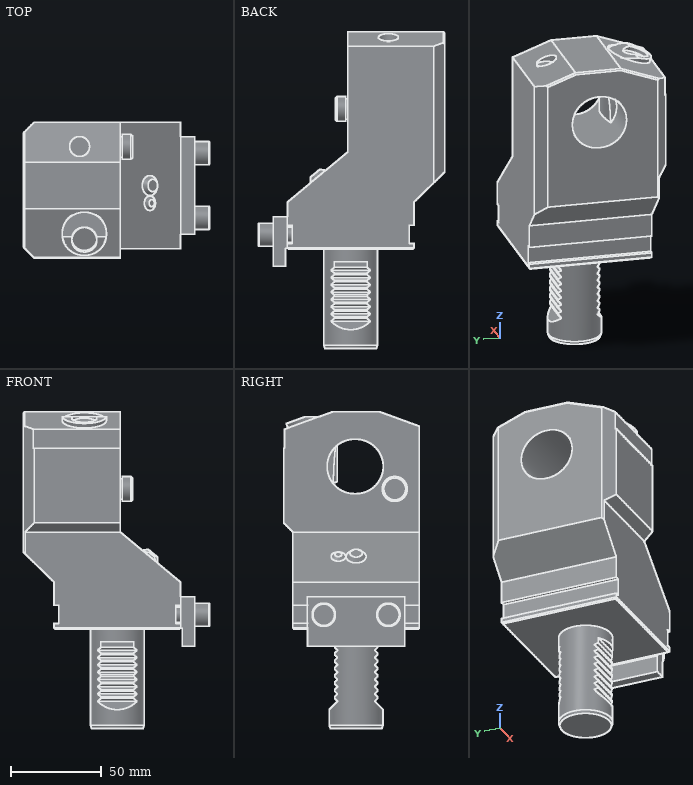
import cadquery as cq
import math


overall_length_x = 103.0
overall_height = 175.0

shank_diameter = 30.0
shank_length = 55.0
shank_end_chamfer = 0.7
shank_end_chamfer_height = 2.0
tooth_flat_y = 11.9
tooth_root_y = 10.3
tooth_pitch = 4.0
tooth_count = 8
tooth_flat_top_z = -7.0
first_root_z = -11.7

body_half = 35.0
body_bottom_chamfer = 0.7
groove_depth = 2.6
groove_bottom_z = 3.2
groove_top_z = 13.1
slope_bottom_z = 25.9

head_top_z = overall_height - shank_length
head_left_x = -52.0
head_right_x = 1.8
head_left_bottom_z = 42.5
head_right_bottom_z = 53.5
head_front_y = -40.0
head_front_recess = 0.5
recess_bottom_z = 100.0
corner_chamfer = 6.1
roof_flat_half = 13.0
roof_angle = 20.0
roof_edge_chamfer = 0.9

bore_diameter = 30.0
bore_z = 89.8
bore_relief_y = -1.0

plug_diameter = 24.5
plug_x = -18.2
plug_y = -26.2
plug_above_roof = 2.6
plug_flat_top_z = 117.2
plug_bore_face_y = -10.3
plug_bore_face_diameter = 68.0
plug_length = 39.9
socket_diameter = 13.8
socket_offset = 3.3
socket_depth = 3.2

roof_hole_diameter = 11.0
roof_hole_x = -20.8
roof_hole_y = 21.5
roof_hole_floor_z = 114.5

side_screw_y = 21.4
side_screw_z = 77.4
side_screw_neck_diameter = 11.4
side_screw_neck_length = 0.9
side_screw_head_diameter = 13.8
side_screw_head_length = 5.8
side_screw_chamfer = 0.9

slope_button_x = 18.0
slope_buttons = [(11.0, 6.8, 2.5, 0.0), (8.0, 3.8, 1.5, -9.8)]

plate_outer_x = 42.9
plate_half_width = 27.0
plate_top_z = 17.8
plate_bottom_z = -9.6
plate_relief = 0.9
plate_relief_top_z = 0.4
plate_screw_y = 17.8
plate_screw_z = 7.9
plate_screw_head_diameter = 13.0
plate_screw_neck_diameter = 8.8
plate_screw_end_x = head_left_x + overall_length_x
plate_screw_chamfer = 0.5

roof_slope = math.tan(math.radians(roof_angle))


def roof_z(y):
    """Height of the sloped roof at a distance y from the middle."""
    return head_top_z - (abs(y) - roof_flat_half) * roof_slope


def cylinder_x(diameter, x_start, x_end, y, z):
    plane = cq.Plane(origin=(x_start, y, z), xDir=(0, 1, 0), normal=(1, 0, 0))
    return cq.Workplane(plane).circle(diameter / 2).extrude(x_end - x_start)


def make_housing():
    """Body and head in one: the common volume of the side, end and plan outlines."""
    groove_x = body_half - groove_depth
    side_outline = [
        (-body_half + body_bottom_chamfer, 0),
        (-body_half, body_bottom_chamfer),
        (-body_half, groove_bottom_z),
        (-groove_x, groove_bottom_z),
        (-groove_x, groove_top_z),
        (-body_half, groove_top_z),
        (-body_half, slope_bottom_z),
        (head_left_x, head_left_bottom_z),
        (head_left_x, head_top_z),
        (head_right_x, head_top_z),
        (head_right_x, head_right_bottom_z),
        (body_half, slope_bottom_z),
        (body_half, groove_top_z),
        (groove_x, groove_top_z),
        (groove_x, groove_bottom_z),
        (body_half, groove_bottom_z),
        (body_half, body_bottom_chamfer),
        (body_half - body_bottom_chamfer, 0),
    ]
    recess_y = head_front_y + head_front_recess
    overhang = -body_half - head_front_y
    end_outline = [
        (body_half - body_bottom_chamfer, 0),
        (body_half, body_bottom_chamfer),
        (body_half, roof_z(body_half)),
        (roof_flat_half, head_top_z),
        (-roof_flat_half, head_top_z),
        (recess_y, roof_z(recess_y)),
        (recess_y, recess_bottom_z),
        (head_front_y, recess_bottom_z),
        (head_front_y, head_right_bottom_z + overhang),
        (-body_half, head_right_bottom_z),
        (-body_half, body_bottom_chamfer),
        (-body_half + body_bottom_chamfer, 0),
    ]
    plan_outline = [
        (body_half, head_front_y),
        (body_half, body_half),
        (head_left_x + corner_chamfer, body_half),
        (head_left_x, body_half - corner_chamfer),
        (head_left_x, head_front_y + corner_chamfer),
        (head_left_x + corner_chamfer, head_front_y),
    ]
    side = cq.Workplane("XZ").polyline(side_outline).close().extrude(2 * body_half, both=True)
    end = cq.Workplane("YZ").polyline(end_outline).close().extrude(2 * body_half, both=True)
    plan = cq.Workplane("XY").polyline(plan_outline).close().extrude(head_top_z)
    housing = side.intersect(end).intersect(plan)
    roof_zone = cq.selectors.BoxSelector(
        (-body_half, head_front_y, roof_z(recess_y)),
        (2 * head_left_x, body_half, overall_height),
    )
    return housing.faces("<X").edges(roof_zone).chamfer(roof_edge_chamfer)


def make_shank():
    radius = shank_diameter / 2
    shank = cq.Workplane("XY").circle(radius).extrude(-shank_length)
    shank = shank.faces("<Z").chamfer(shank_end_chamfer_height, shank_end_chamfer)
    tooth_height = tooth_flat_y - tooth_root_y
    points = [(radius, tooth_flat_top_z), (tooth_flat_y, tooth_flat_top_z)]
    for i in range(tooth_count):
        root_z = first_root_z - i * tooth_pitch
        points.append((tooth_flat_y, root_z + tooth_height))
        points.append((tooth_root_y, root_z))
        if i < tooth_count - 1:
            points.append((tooth_flat_y, root_z - tooth_height))
    last_root_z = first_root_z - (tooth_count - 1) * tooth_pitch
    points.append((radius, last_root_z - (radius - tooth_root_y)))
    teeth_cut = cq.Workplane("YZ").polyline(points).close().extrude(shank_diameter, both=True)
    return shank.cut(teeth_cut).cut(teeth_cut.mirror("XZ"))


def plug_plane():
    """Plane of the front roof slope, centred on the clamp plug."""
    angle = math.radians(roof_angle)
    outward = (0, -math.sin(angle), math.cos(angle))
    return cq.Plane(origin=(plug_x, plug_y, roof_z(plug_y)), xDir=(1, 0, 0), normal=outward)


def make_clamp_plug():
    top = cq.Workplane(plug_plane()).workplane(offset=plug_above_roof)
    plug = top.circle(plug_diameter / 2).extrude(-plug_length)
    socket = top.center(0, -socket_offset).circle(socket_diameter / 2).extrude(-socket_depth)
    bore_top_z = bore_z + bore_diameter / 2
    bore_bottom_z = bore_z - bore_diameter / 2
    face_radius = plug_bore_face_diameter / 2
    in_bore = (
        cq.Workplane("XY", origin=(plug_x, plug_bore_face_y - face_radius, bore_bottom_z))
        .circle(face_radius)
        .extrude(bore_diameter)
    )
    above_bore = (
        cq.Workplane("XY", origin=(plug_x, plug_y, bore_top_z))
        .rect(2 * plug_diameter, 2 * plug_diameter)
        .extrude(plug_flat_top_z - bore_top_z)
    )
    return plug.intersect(in_bore.union(above_bore)).cut(socket)


def make_plug_hole():
    """Clears the roof above the flat top of the clamp plug."""
    hole = cq.Workplane(plug_plane()).circle(plug_diameter / 2).extrude(plug_diameter, both=True)
    upper = (
        cq.Workplane("XY", origin=(plug_x, plug_y, plug_flat_top_z))
        .rect(2 * plug_diameter, 2 * plug_diameter)
        .extrude(plug_diameter)
    )
    return hole.intersect(upper)


def make_roof_hole():
    return (
        cq.Workplane("XY", origin=(roof_hole_x, roof_hole_y, roof_hole_floor_z))
        .circle(roof_hole_diameter / 2)
        .extrude(head_top_z)
    )


def make_side_screw():
    head_start = head_right_x + side_screw_neck_length
    head_end = head_start + side_screw_head_length
    neck = cylinder_x(side_screw_neck_diameter, head_right_x, head_start, side_screw_y, side_screw_z)
    head = cylinder_x(side_screw_head_diameter, head_start, head_end, side_screw_y, side_screw_z)
    return neck.union(head.faces(">X").chamfer(side_screw_chamfer))


def make_slope_button(base_diameter, top_diameter, height, y):
    drop = head_right_bottom_z - slope_bottom_z
    run = body_half - head_right_x
    base_z = head_right_bottom_z - (slope_button_x - head_right_x) * drop / run
    plane = cq.Plane(origin=(slope_button_x, y, base_z), xDir=(0, 1, 0), normal=(drop, 0, run))
    base = cq.Workplane(plane).circle(base_diameter / 2)
    return base.workplane(offset=height).circle(top_diameter / 2).loft()


def make_stop_plate():
    outline = [
        (body_half, plate_top_z),
        (plate_outer_x, plate_top_z),
        (plate_outer_x, plate_bottom_z),
        (body_half + plate_relief, plate_bottom_z),
        (body_half + plate_relief, plate_relief_top_z),
        (body_half, plate_relief_top_z),
    ]
    plate = cq.Workplane("XZ").polyline(outline).close().extrude(plate_half_width, both=True)
    for y in (-plate_screw_y, plate_screw_y):
        head = cylinder_x(plate_screw_head_diameter, plate_outer_x, plate_screw_end_x, y, plate_screw_z)
        neck = cylinder_x(
            plate_screw_neck_diameter, body_half - groove_depth, body_half, y, plate_screw_z
        )
        plate = plate.union(head.faces(">X").chamfer(plate_screw_chamfer)).union(neck)
    return plate


result = make_housing()
for bore_y in (0, bore_relief_y):
    result = result.cut(cylinder_x(bore_diameter, head_left_x, head_right_x, bore_y, bore_z))
result = result.cut(make_plug_hole()).union(make_clamp_plug())
result = result.cut(make_roof_hole())
result = result.union(make_shank()).union(make_side_screw()).union(make_stop_plate())
for button in slope_buttons:
    result = result.union(make_slope_button(*button))
result = result.solids()